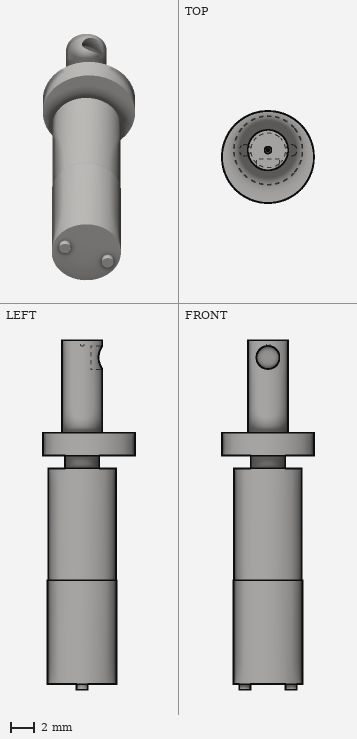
import cadquery as cq

LOWER_BODY_DIAMETER = 6.0
LOWER_BODY_HEIGHT = 9.0
UPPER_BODY_DIAMETER = 5.9
UPPER_BODY_HEIGHT = 9.7
NECK_DIAMETER = 3.0
NECK_HEIGHT = 1.1
FLANGE_DIAMETER = 8.0
FLANGE_HEIGHT = 2.0
FLANGE_OFFSET_Y = -0.6
POST_DIAMETER = 3.5
POST_HEIGHT = 8.0

PIN_DIAMETER = 1.0
PIN_LENGTH = 0.5
PIN_SPACING = 4.0

SIDE_HOLE_DIAMETER = 2.0
SIDE_HOLE_DEPTH = 1.0
SIDE_HOLE_BELOW_TOP = 1.5

CENTRE_MARK_RIM_DIAMETER = 0.6
CENTRE_MARK_FLOOR_DIAMETER = 0.2
CENTRE_MARK_DEPTH = 0.5

UPPER_BODY_BASE = LOWER_BODY_HEIGHT
NECK_BASE = UPPER_BODY_BASE + UPPER_BODY_HEIGHT
FLANGE_BASE = NECK_BASE + NECK_HEIGHT
POST_BASE = FLANGE_BASE + FLANGE_HEIGHT
POST_TOP = POST_BASE + POST_HEIGHT


def upright_cylinder(diameter, height, base, x=0, y=0):
    """Vertical cylinder standing on the level `base`."""
    return cq.Workplane("XY", origin=(x, y, base)).circle(diameter / 2).extrude(height)


def stepped_shaft():
    """Body, neck, eccentric flange and post stacked along Z."""
    shaft = upright_cylinder(LOWER_BODY_DIAMETER, LOWER_BODY_HEIGHT, 0)
    shaft = shaft.union(upright_cylinder(UPPER_BODY_DIAMETER, UPPER_BODY_HEIGHT, UPPER_BODY_BASE))
    shaft = shaft.union(upright_cylinder(NECK_DIAMETER, NECK_HEIGHT, NECK_BASE))
    shaft = shaft.union(upright_cylinder(FLANGE_DIAMETER, FLANGE_HEIGHT, FLANGE_BASE, y=FLANGE_OFFSET_Y))
    return shaft.union(upright_cylinder(POST_DIAMETER, POST_HEIGHT, POST_BASE))


def add_pins(body):
    """Two short pins under the lower body, either side of the axis along X."""
    for side in (-1, 1):
        pin = upright_cylinder(PIN_DIAMETER, PIN_LENGTH, -PIN_LENGTH, x=side * PIN_SPACING / 2)
        body = body.union(pin)
    return body


def side_hole():
    """Cutter entering the post along +Y, its depth measured from the post's -Y edge."""
    entry = (0, -POST_DIAMETER / 2, POST_TOP - SIDE_HOLE_BELOW_TOP)
    return cq.Workplane("XZ", origin=entry).circle(SIDE_HOLE_DIAMETER / 2).extrude(-SIDE_HOLE_DEPTH)


def centre_mark():
    """Downward-tapering round recess with its rim on the top of the post."""
    rim = cq.Workplane("XY", origin=(0, 0, POST_TOP)).circle(CENTRE_MARK_RIM_DIAMETER / 2)
    floor = rim.workplane(offset=-CENTRE_MARK_DEPTH).circle(CENTRE_MARK_FLOOR_DIAMETER / 2)
    return floor.loft(ruled=True)


result = add_pins(stepped_shaft()).cut(side_hole()).cut(centre_mark())